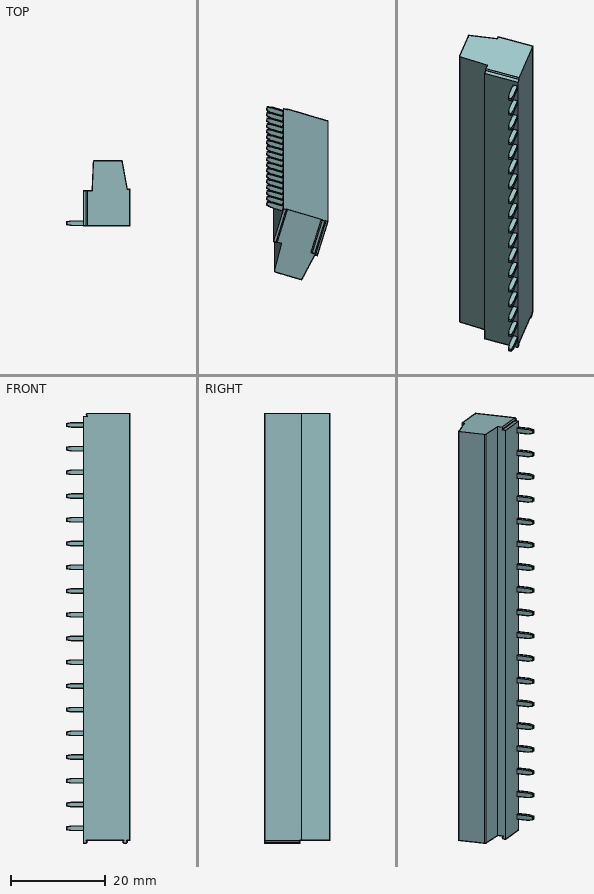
import cadquery as cq

total_height = 90.6
body_depth = 13.8
body_width = 9.8

left_shoulder_y = 7.4
right_shoulder_y = 7.8
upper_left_base = 1.8
upper_left_top = 2.1
upper_right_base = 9.2
upper_right_top = 8.15
top_chamfer = 0.2

rail_neck = 0.5
rail_width = 0.8
rail_depth = 0.6
lip_bevel = 0.3

rib_center_x = 8.8
rib_neck = 0.5
rib_width = 1.1

pin_count = 18
pin_length = 3.5
pin_size = 1.0
pin_inset = 0.1
pin_tip_size = 0.6
pin_tip_length = 1.0
pin_row_span = 85.0
first_pin_z = 3.2
pin_pitch = pin_row_span / (pin_count - 1)
pin_center_y = pin_inset + pin_size / 2


def extrude_along_y(points):
    """Extrude an XZ outline from the front face back to the left shoulder."""
    return cq.Workplane("XZ").polyline(points).close().extrude(-left_shoulder_y)


def make_body():
    """Main prism, standing above the tongue and rib."""
    outline = [
        (0, 0),
        (body_width, 0),
        (body_width, right_shoulder_y),
        (upper_right_base, right_shoulder_y),
        (upper_right_top, body_depth),
        (upper_left_top + top_chamfer, body_depth),
        (upper_left_top, body_depth - top_chamfer),
        (upper_left_base, left_shoulder_y),
        (0, left_shoulder_y),
    ]
    plane = cq.Workplane("XY").workplane(offset=rail_depth)
    return plane.polyline(outline).close().extrude(total_height - rail_depth)


def make_groove():
    """Undercut corner groove that receives the tongue of the next block."""
    floor_z = total_height - rail_depth
    return extrude_along_y([
        (0, floor_z),
        (rail_width, floor_z),
        (rail_neck, total_height - lip_bevel),
        (rail_width, total_height),
        (0, total_height),
    ])


def make_tongue():
    """Hooked tongue hanging below the left edge of the body."""
    return extrude_along_y([
        (0, 0),
        (rail_neck, 0),
        (rail_width, lip_bevel),
        (rail_neck, rail_depth),
        (0, rail_depth),
    ])


def make_rib():
    """Rib that widens below its neck, with both lower corners beveled."""
    half_neck = rib_neck / 2
    half_width = rib_width / 2
    return extrude_along_y([
        (rib_center_x - half_neck, 0),
        (rib_center_x + half_neck, 0),
        (rib_center_x + half_width, lip_bevel),
        (rib_center_x + half_neck, rail_depth),
        (rib_center_x - half_neck, rail_depth),
        (rib_center_x - half_width, lip_bevel),
    ])


def make_pin(z):
    """Square pin along -X with a tapered tip."""
    shank_length = pin_length - pin_tip_length
    shank = (
        cq.Workplane("YZ", origin=(0, pin_center_y, z))
        .rect(pin_size, pin_size)
        .extrude(-shank_length)
    )
    tip = (
        cq.Workplane("YZ", origin=(-shank_length, pin_center_y, z))
        .rect(pin_size, pin_size)
        .workplane(offset=-pin_tip_length)
        .rect(pin_tip_size, pin_tip_size)
        .loft()
    )
    return shank.union(tip)


result = make_body().cut(make_groove()).union(make_tongue()).union(make_rib())
for index in range(pin_count):
    result = result.union(make_pin(first_pin_z + index * pin_pitch))